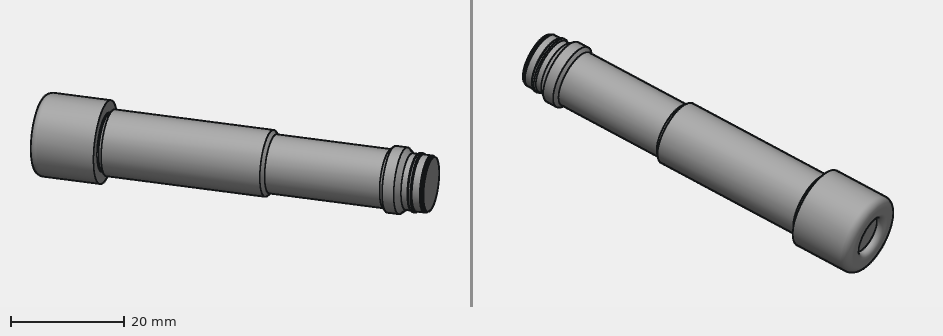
import cadquery as cq

total_length = 72.1

head_radius = 7.5
head_length = 12.0
head_round = 1.5
recess_radius = 7.15 / 2
recess_depth = 1.5
recess_mouth_round = 1.0

waist_radius = 10.6 / 2
barrel_radius = 6.0
shoulder = barrel_radius - waist_radius
barrel_start = head_length + 0.3
barrel_end = 42.9
collar_start = 64.1
collar_taper_start = 66.9
housing_end = 68.0

front_tail_radius = 10.2 / 2
rear_tail_radius = 5.1
ring_seat_radius = 4.75

ring_radius = 5.3
ring_start = 69.15
ring_end = 70.0

cap_start = 71.45
cap_land = 0.2
cap_bevel = 0.2
cap_rim_radius = rear_tail_radius - cap_bevel


def turned(outline):
    """Close a half outline drawn in the XY plane and revolve it about the X axis."""
    return outline.close().revolve(360, (0, 0, 0), (1, 0, 0))


def make_head():
    return turned(
        cq.Workplane("XY")
        .moveTo(recess_depth, 0)
        .lineTo(recess_depth, recess_radius)
        .lineTo(recess_mouth_round, recess_radius)
        .radiusArc((0, recess_radius + recess_mouth_round), recess_mouth_round)
        .lineTo(0, head_radius - head_round)
        .radiusArc((head_round, head_radius), head_round)
        .lineTo(head_length, head_radius)
        .lineTo(head_length, 0)
    )


def make_housing():
    return turned(
        cq.Workplane("XY")
        .moveTo(head_length, 0)
        .lineTo(head_length, waist_radius)
        .lineTo(barrel_start, waist_radius)
        .lineTo(barrel_start + shoulder, barrel_radius)
        .lineTo(barrel_end - shoulder, barrel_radius)
        .lineTo(barrel_end, waist_radius)
        .lineTo(collar_start, waist_radius)
        .lineTo(collar_start + shoulder, barrel_radius)
        .lineTo(collar_taper_start, barrel_radius)
        .lineTo(housing_end, front_tail_radius)
        .lineTo(housing_end, 0)
    )


def make_tail():
    return turned(
        cq.Workplane("XY")
        .moveTo(housing_end, 0)
        .lineTo(housing_end, front_tail_radius)
        .lineTo(ring_start, front_tail_radius)
        .lineTo(ring_start, ring_seat_radius)
        .lineTo(ring_end, ring_seat_radius)
        .lineTo(ring_end, rear_tail_radius)
        .lineTo(cap_start, rear_tail_radius)
        .lineTo(cap_start, 0)
    )


def make_ring():
    front_bevel = ring_radius - front_tail_radius
    rear_bevel = ring_radius - rear_tail_radius
    return turned(
        cq.Workplane("XY")
        .moveTo(ring_start, ring_seat_radius)
        .lineTo(ring_start, front_tail_radius)
        .lineTo(ring_start + front_bevel, ring_radius)
        .lineTo(ring_end - rear_bevel, ring_radius)
        .lineTo(ring_end, rear_tail_radius)
        .lineTo(ring_end, ring_seat_radius)
    )


def make_end_cap():
    bevel_start = cap_start + cap_land
    return turned(
        cq.Workplane("XY")
        .moveTo(cap_start, 0)
        .lineTo(cap_start, rear_tail_radius)
        .lineTo(bevel_start, rear_tail_radius)
        .lineTo(bevel_start + cap_bevel, cap_rim_radius)
        .lineTo(total_length, cap_rim_radius)
        .lineTo(total_length, 0)
    )


head = make_head()
housing = make_housing()
tail = make_tail()
ring = make_ring()
end_cap = make_end_cap()

result = cq.Compound.makeCompound(
    [head.val(), housing.val(), tail.val(), ring.val(), end_cap.val()]
)